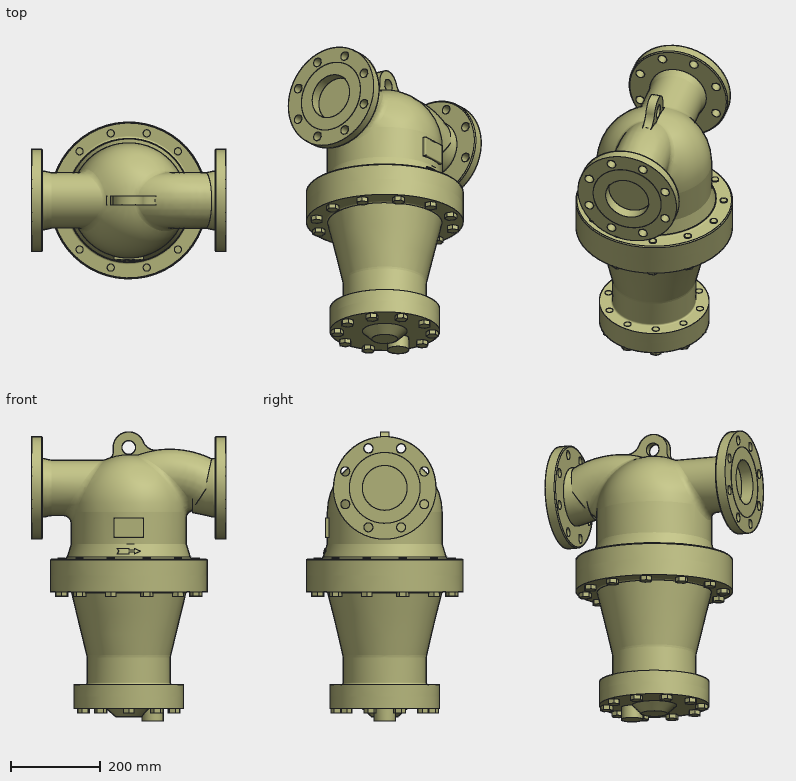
import cadquery as cq
import math


port_span = 434.0
port_flange_dia = 229.0
port_flange_thickness = 25.0
port_flange_chamfer = 2.5
raised_face_dia = 158.0
raised_face_height = 0.5
port_bore_dia = 100.0
port_bore_depth = 27.0
port_hole_dia = 20.0
port_hole_circle_dia = 190.5
port_hole_count = 8
pipe_dia = 124.0
hub_dia = 131.0
hub_length = 4.0
hub_taper_length = 16.0
outlet_taper_overrun = 30.0
inlet_blend_radius = 17.0
outlet_blend_radius = 15.0

elbow_bend_radius = 150.0
elbow_peak_x = 91.6
elbow_peak_z = 24.4
elbow_dome_end_angle = 26.0

body_dia = 257.0
body_radius = body_dia / 2
dome_center_z = -54.4
skirt_top_z = -125.5
skirt_bottom_radius = 138.5
skirt_blend_radius = 4.5

main_flange_dia = 350.0
main_flange_top_z = -158.5
main_joint_z = -195.4
main_flange_bottom_z = -231.8
main_flange_chamfer = 2.5
main_stud_circle_dia = 310.0
main_stud_count = 12
main_stud_first_angle = 15.0
main_head_turn = 15.0
main_stud_protrusion = 2.5

taper_top_radius = 128.0
taper_top_blend = 4.0
taper_blend_wall_radius = 127.0
neck_dia = 186.0
neck_top_z = -376.0
neck_top_blend = 20.0
neck_foot_blend = 4.0

bottom_flange_dia = 245.0
bottom_flange_top_z = -438.6
bottom_joint_z = -465.2
bottom_flange_bottom_z = -492.0
bottom_stud_circle_dia = 212.0
bottom_stud_count = 10
bottom_stud_first_angle = 18.0
bottom_head_turn = 0.0
bottom_stud_protrusion = 0.6

stud_dia = 16.0
head_across_flats = 24.0
head_height = 10.0

drain_hub_top_radius = 50.0
drain_hub_bottom_radius = 29.0
drain_hub_height = 18.5
drain_spout_dia = 48.0
drain_spout_x = 53.4
drain_bottom_z = -520.0

lug_radius = 35.0
lug_hole_dia = 30.0
lug_center_z = 90.0
lug_thickness = 20.0

plate_width = 66.0
plate_height = 44.0
plate_center_z = -88.7
plate_face_y = -132.5
plate_rounding = 2.0

arrow_length = 52.0
arrow_height = 12.0
arrow_shaft_height = 5.0
arrow_tail_length = 27.0
arrow_tail_notch = 4.0
arrow_head_length = 13.0
arrow_center_z = -141.0
arrow_relief = 2.0


def disc(radius, bottom_z, top_z):
    """A cylinder on the body axis."""
    return cq.Workplane("XY").workplane(offset=bottom_z).circle(radius).extrude(top_z - bottom_z)


def make_cover():
    """Dome, cylinder and skirt down to the main flange, as one revolved profile."""
    dome_top_z = dome_center_z + body_radius
    diagonal = body_radius * math.sqrt(0.5)
    return (
        cq.Workplane("XZ")
        .moveTo(0, dome_top_z)
        .threePointArc((diagonal, dome_center_z + diagonal), (body_radius, dome_center_z))
        .lineTo(body_radius, skirt_top_z)
        .lineTo(skirt_bottom_radius, main_flange_top_z)
        .lineTo(0, main_flange_top_z)
        .close()
        .revolve(360, (0, 0, 0), (0, 1, 0))
    )


def port_profile(points):
    """A solid of revolution about the X axis from (x, radius) points."""
    return cq.Workplane("XY").polyline(points).close().revolve(360, (0, 0, 0), (1, 0, 0))


def make_inlet_pipe():
    """Straight pipe from the body axis to the inlet flange, flared at the flange."""
    flange_back_x = -port_span / 2 + port_flange_thickness
    flare_end_x = flange_back_x + hub_length
    flare_start_x = flare_end_x + hub_taper_length
    return port_profile([
        (0, 0),
        (0, pipe_dia / 2),
        (flare_start_x, pipe_dia / 2),
        (flare_end_x, hub_dia / 2),
        (flange_back_x, hub_dia / 2),
        (flange_back_x, 0),
    ])


def elbow_point(angle):
    """Point (x, z) on the elbow centre line, at an angle from its peak toward +X."""
    turn = math.radians(angle)
    center_z = elbow_peak_z - elbow_bend_radius
    return (elbow_peak_x + elbow_bend_radius * math.sin(turn), center_z + elbow_bend_radius * math.cos(turn))


def make_outlet_elbow():
    """Round tube along an arc from inside the dome, down to the port axis."""
    port_end_angle = math.degrees(math.acos(1 - elbow_peak_z / elbow_bend_radius))
    start_x, start_z = elbow_point(-elbow_dome_end_angle)
    turn = math.radians(elbow_dome_end_angle)
    start_plane = cq.Plane(
        origin=(start_x, 0, start_z), xDir=(0, 1, 0), normal=(math.cos(turn), 0, math.sin(turn))
    )
    path = (
        cq.Workplane("XZ")
        .moveTo(start_x, start_z)
        .threePointArc(elbow_point(0), elbow_point(port_end_angle))
    )
    return cq.Workplane(start_plane).circle(pipe_dia / 2).sweep(path)


def make_outlet_hub():
    """Tapered hub that joins the elbow to the outlet flange."""
    flange_back_x = port_span / 2 - port_flange_thickness
    taper_end_x = flange_back_x - hub_length
    taper_length = hub_taper_length + outlet_taper_overrun
    slope = (hub_dia - pipe_dia) / 2 / hub_taper_length
    taper_start_x = taper_end_x - taper_length
    return port_profile([
        (taper_start_x, 0),
        (taper_start_x, hub_dia / 2 - slope * taper_length),
        (taper_end_x, hub_dia / 2),
        (flange_back_x, hub_dia / 2),
        (flange_back_x, 0),
    ])


def make_port_flange(side):
    """Drilled port flange with a raised face; side is -1 for the inlet, +1 for the outlet."""
    face_x = side * port_span / 2
    back_x = face_x - side * port_flange_thickness
    rim_x = face_x - side * raised_face_height
    rim_radius = port_flange_dia / 2
    flange = port_profile([
        (back_x, 0),
        (back_x, rim_radius - port_flange_chamfer),
        (back_x + side * port_flange_chamfer, rim_radius),
        (rim_x, rim_radius),
        (rim_x, raised_face_dia / 2),
        (face_x, raised_face_dia / 2),
        (face_x, 0),
    ])
    holes = (
        cq.Workplane("YZ")
        .workplane(offset=back_x)
        .polarArray(port_hole_circle_dia / 2, 180 / port_hole_count, 360, port_hole_count)
        .circle(port_hole_dia / 2)
        .extrude(side * port_flange_thickness)
    )
    return flange.cut(holes)


def make_port_bore(side):
    """Blind bore of one port."""
    return (
        cq.Workplane("YZ")
        .workplane(offset=side * port_span / 2)
        .circle(port_bore_dia / 2)
        .extrude(-side * port_bore_depth)
    )


def ring_blend(radius, z, size, up):
    """Quarter-round blend of a vertical wall into a flange face at height z; up is +1 or -1."""
    middle = size * (1 - math.sqrt(0.5))
    return (
        cq.Workplane("XZ")
        .moveTo(0, z)
        .lineTo(radius + size, z)
        .threePointArc((radius + middle, z + up * middle), (radius, z + up * size))
        .lineTo(0, z + up * size)
        .close()
        .revolve(360, (0, 0, 0), (0, 1, 0))
    )


def make_lower_body():
    """Tapered body and neck between the two flange pairs."""
    neck_radius = neck_dia / 2
    taper = (
        cq.Workplane("XZ")
        .polyline([
            (0, main_flange_bottom_z),
            (taper_top_radius, main_flange_bottom_z),
            (neck_radius, neck_top_z),
            (neck_radius, bottom_flange_top_z),
            (0, bottom_flange_top_z),
        ])
        .close()
        .revolve(360, (0, 0, 0), (0, 1, 0))
    )
    neck_edge = cq.selectors.NearestToPointSelector((0, 0, neck_top_z))
    return taper.edges("%CIRCLE").edges(neck_edge).fillet(neck_top_blend)


def make_flange_pair(diameter, top_z, joint_z, bottom_z):
    """Two mating flanges that keep a visible joint line."""
    upper = disc(diameter / 2, joint_z, top_z)
    lower = disc(diameter / 2, bottom_z, joint_z)
    return upper, lower


def blend_joint(body, pipe, radius):
    """Join a pipe to the cover and round the curved joint between them."""
    joined = body.union(pipe)
    reach = port_span / 2 - port_flange_thickness - hub_length - hub_taper_length - outlet_taper_overrun
    joint = [
        edge for edge in joined.edges("%BSPLINE").vals()
        if abs(edge.Center().x) < reach
    ]
    return joined.newObject(joint).fillet(radius)


def make_fasteners(circle_dia, count, first_angle, head_turn, top_z, bottom_z, protrusion):
    """Ring of stud ends above a flange pair and hexagon heads below it."""
    fasteners = cq.Workplane("XY")
    head_across_corners = head_across_flats / math.cos(math.pi / 6)
    for index in range(count):
        angle = first_angle + index * 360 / count
        seat = cq.Workplane("XY").transformed(rotate=(0, 0, angle)).center(circle_dia / 2, 0)
        stud = seat.workplane(offset=bottom_z).circle(stud_dia / 2).extrude(top_z + protrusion - bottom_z)
        head = (
            seat.workplane(offset=bottom_z)
            .transformed(rotate=(0, 0, head_turn))
            .polygon(6, head_across_corners)
            .extrude(-head_height)
        )
        fasteners = fasteners.add(stud).add(head)
    return fasteners


def make_drain():
    """Conical hub under the bottom flange with an offset round spout."""
    hub_bottom_z = bottom_flange_bottom_z - drain_hub_height
    hub = (
        cq.Workplane("XZ")
        .polyline([
            (0, bottom_flange_bottom_z),
            (drain_hub_top_radius, bottom_flange_bottom_z),
            (drain_hub_bottom_radius, hub_bottom_z),
            (0, hub_bottom_z),
        ])
        .close()
        .revolve(360, (0, 0, 0), (0, 1, 0))
    )
    spout = (
        cq.Workplane("XY", origin=(drain_spout_x, 0, drain_bottom_z))
        .circle(drain_spout_dia / 2)
        .extrude(bottom_flange_bottom_z - drain_bottom_z)
    )
    return hub.union(spout)


def make_lug():
    """Lifting eye with concave feet that run out on the dome and on the elbow."""
    dome_foot = (-50.0, 64.0)
    dome_foot_middle = (-39.4, 68.4)
    dome_foot_start_z = 79.0
    elbow_foot = (61.0, 83.5)
    elbow_foot_middle = (44.0, 89.0)
    crown_angle = math.radians(19)
    root_z = 40.0
    outline = (
        cq.Workplane("XZ", origin=(0, lug_thickness / 2, 0))
        .moveTo(*dome_foot)
        .threePointArc(dome_foot_middle, (-lug_radius, dome_foot_start_z))
        .lineTo(-lug_radius, lug_center_z)
        .threePointArc(
            (0, lug_center_z + lug_radius),
            (lug_radius * math.cos(crown_angle), lug_center_z + lug_radius * math.sin(crown_angle)),
        )
        .threePointArc(elbow_foot_middle, elbow_foot)
        .lineTo(elbow_foot[0], root_z)
        .lineTo(dome_foot[0], root_z)
        .close()
    )
    return outline.extrude(lug_thickness)


def make_lug_hole():
    """Round hole through the lug along Y."""
    return (
        cq.Workplane("XZ", origin=(0, lug_thickness / 2, lug_center_z))
        .circle(lug_hole_dia / 2)
        .extrude(lug_thickness)
    )


def make_nameplate():
    """Flat plate with a rounded rim, bedded in the cylinder of the cover."""
    return (
        cq.Workplane("XZ", origin=(0, 0, plate_center_z))
        .rect(plate_width, plate_height)
        .extrude(-plate_face_y)
        .faces("<Y")
        .edges()
        .fillet(plate_rounding)
    )


def make_flow_arrow():
    """Raised arrow that follows the slope of the skirt."""
    tail_x = -arrow_length / 2
    tip_x = arrow_length / 2
    shaft_x = tail_x + arrow_tail_length
    head_x = tip_x - arrow_head_length
    half = arrow_height / 2
    half_shaft = arrow_shaft_height / 2
    arrow = (
        cq.Workplane("XZ", origin=(0, 0, arrow_center_z))
        .polyline([
            (tail_x, half),
            (shaft_x, half),
            (shaft_x, half_shaft),
            (head_x, half_shaft),
            (head_x, half),
            (tip_x, 0),
            (head_x, -half),
            (head_x, -half_shaft),
            (shaft_x, -half_shaft),
            (shaft_x, -half),
            (tail_x, -half),
            (tail_x + arrow_tail_notch, 0),
        ])
        .close()
        .extrude(main_flange_dia / 2)
    )
    raised_skirt = (
        cq.Workplane("XZ")
        .polyline([
            (0, skirt_top_z),
            (body_radius + arrow_relief, skirt_top_z),
            (skirt_bottom_radius + arrow_relief, main_flange_top_z),
            (0, main_flange_top_z),
        ])
        .close()
        .revolve(360, (0, 0, 0), (0, 1, 0))
    )
    return arrow.intersect(raised_skirt)


body = blend_joint(make_cover(), make_inlet_pipe(), inlet_blend_radius)
body = blend_joint(body, make_outlet_elbow(), outlet_blend_radius)
main_upper, main_lower = make_flange_pair(main_flange_dia, main_flange_top_z, main_joint_z, main_flange_bottom_z)
bottom_pair = make_flange_pair(bottom_flange_dia, bottom_flange_top_z, bottom_joint_z, bottom_flange_bottom_z)

parts = [
    make_outlet_hub(),
    make_port_flange(-1),
    make_port_flange(1),
    main_upper.faces(">Z").chamfer(main_flange_chamfer),
    main_lower,
    *bottom_pair,
    make_lower_body(),
    ring_blend(skirt_bottom_radius, main_flange_top_z, skirt_blend_radius, 1),
    ring_blend(neck_dia / 2, bottom_flange_top_z, neck_foot_blend, 1),
    ring_blend(taper_blend_wall_radius, main_flange_bottom_z, taper_top_blend, -1),
    make_fasteners(
        main_stud_circle_dia, main_stud_count, main_stud_first_angle, main_head_turn,
        main_flange_top_z, main_flange_bottom_z, main_stud_protrusion,
    ),
    make_fasteners(
        bottom_stud_circle_dia, bottom_stud_count, bottom_stud_first_angle, bottom_head_turn,
        bottom_flange_top_z, bottom_flange_bottom_z, bottom_stud_protrusion,
    ),
    make_drain(),
    make_lug(),
    make_nameplate(),
    make_flow_arrow(),
]

for part in parts:
    for solid in part.vals():
        body = body.union(cq.Workplane(solid), clean=False)

for void in (make_port_bore(-1), make_port_bore(1), make_lug_hole()):
    body = body.cut(void, clean=False)
result = body